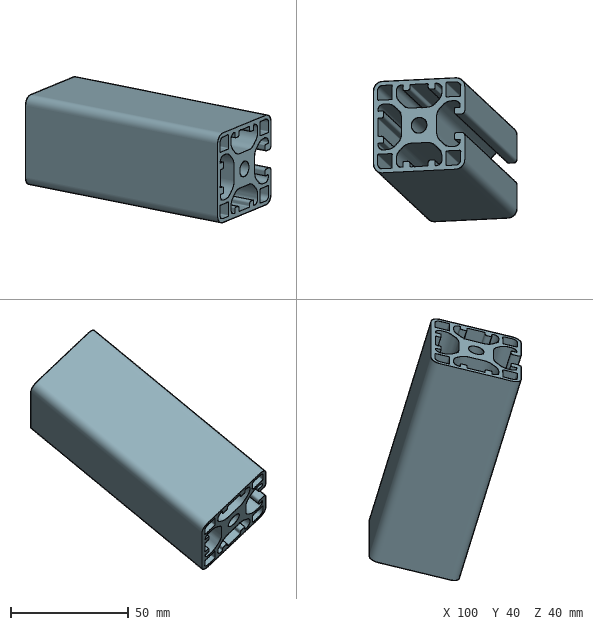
import cadquery as cq
import math

length = 100.0
width = 40.0
half_width = width / 2
corner_radius = 4.0
bore_diameter = 6.8

cell_wall = 1.8
cell_size = 6.4
cell_corner_radius = corner_radius - cell_wall
cell_inner_radius = 0.5

slot_floor = 7.7
slot_half_width = 10.0
slot_roof = 18.0
web_thickness = 3.0
diagonal_offset = web_thickness / math.sqrt(2)
diagonal_radius = 5.0
roof_radius = 2.5

lip_inner = 4.0
lip_outer = 7.0
lip_end = 15.5
lip_inner_radius = 1.0
lip_outer_radius = 0.5
lip_inner_root_radius = 0.5
lip_outer_root_radius = 0.4
mouth_edge_radius = 1.5

lip_width = lip_outer - lip_inner
lip_center = (lip_inner + lip_outer) / 2
lip_height = slot_roof - lip_end


def make_body():
    """Square bar with rounded long edges and a central bore."""
    bar = cq.Workplane("YZ").rect(width, width).extrude(length)
    bar = bar.edges("|X").fillet(corner_radius)
    return bar.faces("<X").workplane(origin=(0, 0, 0)).hole(bore_diameter)


def make_corner_cell():
    """Square cell in the +Y +Z corner whose outer corner follows the rounding of the bar."""
    center = half_width - cell_wall - cell_size / 2
    cell = cq.Workplane("YZ").center(center, center).rect(cell_size, cell_size).extrude(length)
    outer_corner = "|X and >Y and >Z"
    inner_corners = "|X and (<Y or <Z)"
    cell = cell.edges(inner_corners).fillet(cell_inner_radius)
    return cell.edges(outer_corner).fillet(cell_corner_radius)


def edge_near(y, z):
    """Selector for the lengthwise edge that lies nearest to (y, z)."""
    return cq.selectors.NearestToPointSelector((length / 2, y, z))


def make_chamber():
    """Chamber on the +Z side: narrow floor, 45 degree flanks, rounded roof and two lips."""
    floor_half_width = slot_floor - diagonal_offset
    flank_top = slot_half_width + diagonal_offset
    chamber = (
        cq.Workplane("YZ")
        .moveTo(-floor_half_width, slot_floor)
        .lineTo(floor_half_width, slot_floor)
        .lineTo(slot_half_width, flank_top)
        .lineTo(slot_half_width, slot_roof)
        .lineTo(-slot_half_width, slot_roof)
        .lineTo(-slot_half_width, flank_top)
        .close()
        .extrude(length)
    )
    chamber = chamber.edges("|X and >Z").fillet(roof_radius)
    for y, z in ((floor_half_width, slot_floor), (slot_half_width, flank_top)):
        for side in (-1, 1):
            chamber = chamber.edges(edge_near(side * y, z)).fillet(diagonal_radius)
    for side in (-1, 1):
        lip = (
            cq.Workplane("YZ")
            .center(side * lip_center, slot_roof - lip_height / 2)
            .rect(lip_width, lip_height)
            .extrude(length)
        )
        lip = lip.edges(edge_near(side * lip_inner, lip_end)).fillet(lip_inner_radius)
        lip = lip.edges(edge_near(side * lip_outer, lip_end)).fillet(lip_outer_radius)
        chamber = chamber.cut(lip)
    for side in (-1, 1):
        chamber = chamber.edges(edge_near(side * lip_inner, slot_roof)).fillet(lip_inner_root_radius)
        chamber = chamber.edges(edge_near(side * lip_outer, slot_roof)).fillet(lip_outer_root_radius)
    return chamber


def make_mouth():
    """Opening of the +Z chamber through the outer wall, flared by rounded edges."""
    flare = lip_inner + mouth_edge_radius
    return (
        cq.Workplane("YZ")
        .moveTo(-lip_inner, slot_roof - lip_inner_root_radius)
        .lineTo(lip_inner, slot_roof - lip_inner_root_radius)
        .lineTo(lip_inner, half_width - mouth_edge_radius)
        .radiusArc((flare, half_width), mouth_edge_radius)
        .lineTo(-flare, half_width)
        .radiusArc((-lip_inner, half_width - mouth_edge_radius), mouth_edge_radius)
        .close()
        .extrude(length)
    )


def turn(shape, angle):
    """Rotate a shape about the long axis of the bar."""
    return shape.rotate((0, 0, 0), (1, 0, 0), angle)


result = make_body()
corner_cell = make_corner_cell()
chamber = make_chamber()
for quarter in range(4):
    angle = 90 * quarter
    result = result.cut(turn(corner_cell, angle))
    result = result.cut(turn(chamber, angle))

result = result.cut(turn(make_mouth(), -90))